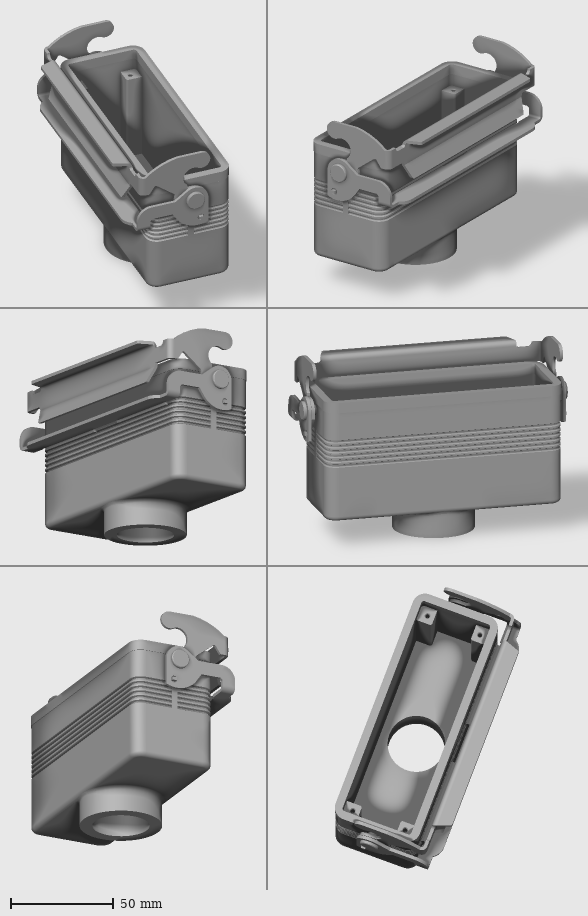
import cadquery as cq
import math


body_length = 120.0
body_width = 43.4
body_corner_radius = 6.0
body_bottom = 13.0
body_edge_radius = 2.3
rim_start = 68.3
rim_top = 73.5
rim_step = 0.3
wall = 4.0
floor_thickness = 4.0
cavity_corner_radius = 1.3
cavity_undercut = 0.3

neck_radius = 20.2
neck_flare = 1.7
cable_hole_radius = 14.1

groove_count = 6
groove_first = 41.3
groove_last = 53.6
groove_pitch = (groove_last - groove_first) / (groove_count - 1)
groove_mouth = 1.6
groove_floor = 0.8
groove_depth = 1.1
groove_bridge_width = 3.0
groove_cut_margin = 2.7

post_size = 7.8
post_sink = 1.3
post_top = 62.0
post_edge_radius = 1.1
post_hole_radius = 1.1
post_hole_chamfer = 0.4
post_hole_depth = 8.0
drill_half_angle = 59.0
post_hole_x = 52.3
post_hole_y = 13.7

sheet = 1.6
bend_inner = 1.2
bend_outer = bend_inner + sheet

pivot_z = 64.3
pin_radius = 2.5
pin_tip_radius = 1.2
pin_head_radius = 4.7
pin_head_chamfer = 0.4
lever_half_length = 67.0

handle_half_length = 65.4
handle_eye_radius = 7.0
handle_back = -30.3
handle_arm_back = -23.5
handle_arm_top = 65.4
handle_arm_bottom = 58.5
handle_elbow_radius = 7.4
handle_neck_slope = 36.0
crotch_y = -11.9
lug_shoulder = (-9.8, 55.5)
lug_low_point = (-2.7, 49.8)
lug_corner_z = 50.4
flange_bottom = 52.1
flange_inner_edge = -24.0
flange_front = -33.8
flange_wide_half = 58.2
flange_front_half = 52.7
flange_shoulder = (-56.0, -32.4)
flange_tab_half = 54.4
lip_edge = -22.1
lip_bottom = 51.0
lip_bend_y = -23.3
lip_inner_x = 10.2
lip_outer_x = 52.5
stud_y = 3.1
stud_z = 53.5
stud_length = 2.1
stud_width = 1.6
stud_height = 1.1
stud_recess_radius = 1.7

hook_half_length = 63.4
hook_top = 89.5
hook_eye_radius = 9.9
hook_tip_radius = 4.4
hook_tip_y = 4.4
throat_z = 76.4
throat_end_y = -3.2
hook_shoulder_y = -8.3
hook_back_point = (-17.4, 86.8)
hook_foot_y = -23.3
notch_peak_z = 76.0
notch_peak_back_y = -20.5
notch_peak_front_y = -19.5
shank_corner = (-9.9, 68.6)
shank_y = -9.4
hook_eye_edge = 6.0
hook_wall_front = -28.3
hook_wall_bottom = 71.8
hook_wall_top = 81.7
shelf_front = -36.0
shelf_half = 49.6
shelf_front_half = 46.8
shelf_start = 80.4
shelf_bend_inner = 1.0
dip_bottom = 79.5
dip_inner_x = 50.9
dip_inner_corner = (-50.0, 79.9)
dip_outer_x = 55.9
dip_outer_corner = (-57.1, 80.3)
dip_end_x = 57.6
skirt_bend = 70.0
skirt_bottom = 62.3
skirt_angle = 24.0
skirt_top_half = 50.9
skirt_bottom_half = 47.3
plate_corner_radius = 1.1


def rounded_prism(length, width, radius, bottom, top):
    height = top - bottom
    return (cq.Workplane("XY", origin=(0, 0, bottom))
            .rect(length, width).extrude(height).edges("|Z").fillet(radius))


def outer_body():
    """Body with a rounded floor edge, a proud rim and a neck flaring into the floor."""
    body = rounded_prism(body_length, body_width, body_corner_radius, body_bottom, rim_top)
    body = body.faces("<Z").edges().fillet(body_edge_radius)
    neck = cq.Workplane("XY").circle(neck_radius).extrude(body_bottom + body_edge_radius)
    body = body.union(neck)
    reach = neck_radius + neck_flare
    neck_joint = cq.selectors.BoxSelector((-reach, -reach, body_bottom - neck_flare),
                                          (reach, reach, body_bottom + body_edge_radius))
    body = body.edges(neck_joint).fillet(neck_flare)
    rim = rounded_prism(body_length + 2 * rim_step, body_width + 2 * rim_step,
                        body_corner_radius + rim_step, rim_start, rim_top)
    return body.union(rim)


def groove(middle):
    """Ring with sloping flanks, broken by a bridge at the middle of each short side."""
    flank_height = (groove_mouth - groove_floor) / 2
    flank_angle = math.degrees(math.atan2(groove_depth, flank_height))
    core_length = body_length - 2 * groove_depth
    core_width = body_width - 2 * groove_depth
    core_radius = body_corner_radius - groove_depth

    def flank(direction):
        start = middle + direction * groove_floor / 2
        outline = cq.Sketch().rect(core_length, core_width).vertices().fillet(core_radius)
        return (cq.Workplane("XY", origin=(0, 0, start)).placeSketch(outline)
                .extrude(direction * flank_height, taper=-flank_angle))

    core = rounded_prism(core_length, core_width, core_radius,
                         middle - groove_floor / 2, middle + groove_floor / 2)
    ring_length = body_length + groove_cut_margin
    ring_width = body_width + groove_cut_margin
    centre = cq.Workplane("XY", origin=(0, 0, middle))
    ring = centre.box(ring_length, ring_width, groove_mouth)
    bridge = centre.box(ring_length, groove_bridge_width, groove_mouth)
    return ring.cut(core).cut(flank(1)).cut(flank(-1)).cut(bridge)


def cavity():
    mouth_length = body_length + 2 * rim_step - 2 * wall
    mouth_width = body_width + 2 * rim_step - 2 * wall
    floor = body_bottom + floor_thickness
    mouth = rounded_prism(mouth_length, mouth_width, cavity_corner_radius, floor, rim_top)
    lower = rounded_prism(mouth_length + 2 * cavity_undercut, mouth_width + 2 * cavity_undercut,
                          cavity_corner_radius + cavity_undercut, floor, rim_start)
    return mouth.union(lower)


def corner_post(side_x, side_y):
    """Square post in a cavity corner, sunk into both walls, with a blind screw hole."""
    wall_x = body_length / 2 + rim_step - wall
    wall_y = body_width / 2 + rim_step - wall
    size = post_size + post_sink
    floor = body_bottom + floor_thickness / 2
    inner_x = "<X" if side_x > 0 else ">X"
    inner_y = "<Y" if side_y > 0 else ">Y"
    post = (cq.Workplane("XY", origin=(side_x * (wall_x + post_sink - size / 2),
                                       side_y * (wall_y + post_sink - size / 2), floor))
            .rect(size, size).extrude(post_top - floor)
            .faces(inner_x).edges("|Z and " + inner_y)
            .fillet(post_edge_radius))
    tip_length = post_hole_radius / math.tan(math.radians(drill_half_angle))
    hole = (cq.Workplane("XZ", origin=(side_x * post_hole_x, side_y * post_hole_y, post_top))
            .polyline([(0, 0),
                       (post_hole_radius + post_hole_chamfer, 0),
                       (post_hole_radius, -post_hole_chamfer),
                       (post_hole_radius, -post_hole_depth),
                       (0, -post_hole_depth - tip_length)])
            .close().revolve(360, (0, 0, 0), (0, 1, 0)))
    return post.cut(hole)


def rod(x_start, x_end, y, z, radius):
    return cq.Workplane("YZ", origin=(x_start, y, z)).circle(radius).extrude(x_end - x_start)


def make_housing():
    shell = outer_body()
    for index in range(groove_count):
        shell = shell.cut(groove(groove_first + index * groove_pitch))
    shell = shell.cut(cavity())
    for side_x in (-1, 1):
        for side_y in (-1, 1):
            shell = shell.union(corner_post(side_x, side_y))
    cable_hole = cq.Workplane("XY").circle(cable_hole_radius).extrude(body_bottom + floor_thickness)
    pivot_hole = rod(-body_length, body_length, 0, pivot_z, pin_tip_radius)
    return shell.cut(cable_hole).cut(pivot_hole)


def on_both_ends(left_part):
    return left_part.union(left_part.mirror("YZ"))


def handle_side():
    """Left side plate: eye around the pivot, lug below it and an arm reaching back."""
    slope = math.radians(handle_neck_slope)
    leave_y = -handle_eye_radius * math.sin(slope)
    leave_z = pivot_z + handle_eye_radius * math.cos(slope)
    bend_start = flange_bottom + bend_outer
    arm_top_y = leave_y - (leave_z - handle_arm_top) / math.tan(slope)
    elbow_y = handle_back + handle_elbow_radius
    elbow_z = handle_arm_top - handle_elbow_radius
    diagonal = handle_elbow_radius * math.sqrt(0.5)
    plate = (cq.Workplane("YZ", origin=(-handle_half_length, 0, 0))
             .moveTo(handle_eye_radius, pivot_z)
             .threePointArc((0, pivot_z + handle_eye_radius), (leave_y, leave_z))
             .lineTo(arm_top_y, handle_arm_top)
             .lineTo(elbow_y, handle_arm_top)
             .threePointArc((elbow_y - diagonal, elbow_z + diagonal), (handle_back, elbow_z))
             .lineTo(handle_back, bend_start)
             .lineTo(handle_arm_back, bend_start)
             .lineTo(handle_arm_back, handle_arm_bottom - plate_corner_radius)
             .lineTo(handle_arm_back + plate_corner_radius, handle_arm_bottom)
             .lineTo(crotch_y, handle_arm_bottom)
             .lineTo(*lug_shoulder)
             .threePointArc(lug_low_point, (handle_eye_radius, lug_corner_z))
             .close().extrude(sheet))
    recess_floor = -handle_half_length + sheet / 2
    recess = rod(-handle_half_length, recess_floor, stud_y, stud_z, stud_recess_radius)
    stud = (cq.Workplane("YZ", origin=(recess_floor, stud_y, stud_z))
            .rect(stud_length, stud_width).extrude(-sheet / 2 - stud_height))
    return plate.cut(recess).union(stud)


def handle_bend():
    """Left quarter bend from the side plate's arm into the flange."""
    centre_x = -handle_half_length + bend_outer
    centre_z = flange_bottom + bend_outer
    quarter = (cq.Workplane("XZ", origin=(centre_x, handle_arm_back, centre_z))
               .circle(bend_outer).circle(bend_inner).extrude(handle_arm_back - handle_back))
    keep = (cq.Workplane("XZ", origin=(centre_x, handle_arm_back, centre_z))
            .rect(-bend_outer, -bend_outer, centered=False).extrude(handle_arm_back - handle_back))
    return quarter.intersect(keep)


def handle_flange():
    end_x = handle_half_length - bend_outer
    left_half = (cq.Workplane("XY", origin=(0, 0, flange_bottom))
                 .moveTo(0, flange_inner_edge)
                 .lineTo(-flange_tab_half, flange_inner_edge)
                 .lineTo(-flange_tab_half, handle_arm_back)
                 .lineTo(-end_x, handle_arm_back)
                 .lineTo(-end_x, handle_back)
                 .lineTo(-flange_wide_half, handle_back)
                 .threePointArc(flange_shoulder, (-flange_front_half, flange_front))
                 .lineTo(0, flange_front)
                 .close().extrude(sheet))
    return on_both_ends(left_half)


def handle_lip():
    """Left strip of the flange's inner edge, bent down to rest beside the housing."""
    flange_top = flange_bottom + sheet
    return (cq.Workplane("YZ", origin=(-lip_outer_x, 0, 0))
            .moveTo(flange_inner_edge, flange_bottom)
            .lineTo(lip_bend_y, lip_bottom)
            .lineTo(lip_edge, lip_bottom)
            .lineTo(lip_edge, lip_bottom + sheet)
            .lineTo(lip_bend_y, flange_top)
            .lineTo(flange_inner_edge, flange_top)
            .close().extrude(lip_outer_x - lip_inner_x))


def hook_side():
    """Left hook plate: round tip, round throat and an eye around the pivot."""
    tip_z = hook_top - hook_tip_radius
    centre_distance = math.hypot(hook_tip_y, tip_z - throat_z)
    throat_radius = centre_distance - hook_tip_radius
    join_y = hook_tip_y * throat_radius / centre_distance
    join_z = throat_z + (tip_z - throat_z) * throat_radius / centre_distance
    throat_end_z = throat_z - math.sqrt(throat_radius ** 2 - throat_end_y ** 2)
    wall_start = hook_wall_front + bend_outer
    shank_z = pivot_z + math.sqrt(hook_eye_radius ** 2 - shank_y ** 2)
    diagonal = hook_eye_radius * math.sqrt(0.5)
    eye_diagonal = hook_eye_edge * math.sqrt(0.5)
    return (cq.Workplane("YZ", origin=(-hook_half_length, 0, 0))
            .moveTo(hook_tip_y, hook_top)
            .lineTo(hook_shoulder_y, hook_top)
            .threePointArc(hook_back_point, (wall_start, hook_wall_top))
            .lineTo(wall_start, hook_wall_bottom)
            .lineTo(hook_foot_y, hook_wall_bottom)
            .lineTo(notch_peak_back_y, notch_peak_z)
            .lineTo(notch_peak_front_y, notch_peak_z)
            .lineTo(*shank_corner)
            .lineTo(shank_y, shank_z)
            .threePointArc((-diagonal, pivot_z - diagonal), (0, pivot_z - hook_eye_radius))
            .lineTo(hook_eye_edge, pivot_z - hook_eye_edge / 2)
            .lineTo(hook_eye_edge, pivot_z)
            .threePointArc((eye_diagonal, pivot_z + eye_diagonal), (0, pivot_z + hook_eye_edge))
            .lineTo(throat_end_y, pivot_z + hook_eye_edge)
            .lineTo(throat_end_y, throat_end_z)
            .threePointArc((-throat_radius, throat_z), (join_y, join_z))
            .threePointArc((hook_tip_y + hook_tip_radius, tip_z), (hook_tip_y, hook_top))
            .close().extrude(sheet))


def hook_wall():
    """Wall joining the hook plates, bent at both ends and dipped beside the shelf."""
    height = hook_wall_top - hook_wall_bottom
    flat_end = hook_half_length - bend_outer
    bend_y = hook_wall_front + bend_outer
    inner_face = hook_wall_front + sheet
    outer_reach = bend_outer * math.sqrt(0.5)
    inner_reach = bend_inner * math.sqrt(0.5)
    left_half = (cq.Workplane("XY", origin=(0, 0, hook_wall_bottom))
                 .moveTo(0, hook_wall_front)
                 .lineTo(-flat_end, hook_wall_front)
                 .threePointArc((-flat_end - outer_reach, bend_y - outer_reach),
                                (-hook_half_length, bend_y))
                 .lineTo(-hook_half_length + sheet, bend_y)
                 .threePointArc((-flat_end - inner_reach, bend_y - inner_reach),
                                (-flat_end, inner_face))
                 .lineTo(0, inner_face)
                 .close().extrude(height))
    upper_edge = (cq.Workplane("XZ", origin=(0, inner_face, 0))
                  .moveTo(0, hook_wall_top)
                  .lineTo(-dip_end_x, hook_wall_top)
                  .threePointArc(dip_outer_corner, (-dip_outer_x, dip_bottom))
                  .lineTo(-dip_inner_x, dip_bottom)
                  .threePointArc(dip_inner_corner, (-shelf_half, shelf_start))
                  .lineTo(0, shelf_start)
                  .close().extrude(sheet))
    return on_both_ends(left_half.cut(upper_edge))


def hook_shelf():
    """Shelf curling forward from the wall's upper edge, narrowing towards its front."""
    bend_radius = shelf_bend_inner + sheet
    bend_y = hook_wall_front - shelf_bend_inner
    outer_reach = bend_radius * math.sqrt(0.5)
    inner_reach = shelf_bend_inner * math.sqrt(0.5)
    inner_face = hook_wall_front + sheet
    strip = (cq.Workplane("YZ", origin=(-shelf_half, 0, 0))
             .moveTo(inner_face, shelf_start)
             .threePointArc((bend_y + outer_reach, shelf_start + outer_reach),
                            (bend_y, shelf_start + bend_radius))
             .lineTo(shelf_front, shelf_start + bend_radius)
             .lineTo(shelf_front, shelf_start + shelf_bend_inner)
             .lineTo(bend_y, shelf_start + shelf_bend_inner)
             .threePointArc((bend_y + inner_reach, shelf_start + inner_reach),
                            (hook_wall_front, shelf_start))
             .close().extrude(2 * shelf_half))
    outline = (cq.Workplane("XY", origin=(0, 0, shelf_start))
               .polyline([(-shelf_half, inner_face), (-shelf_half, hook_wall_front),
                          (-shelf_front_half, shelf_front), (shelf_front_half, shelf_front),
                          (shelf_half, hook_wall_front), (shelf_half, inner_face)])
               .close().extrude(bend_radius)
               .edges("|Z and <Y").fillet(plate_corner_radius))
    return strip.intersect(outline)


def hook_skirt():
    """Skirt leaning outward below the wall, narrowing towards its lower edge."""
    angle = math.radians(skirt_angle)
    inner_face = hook_wall_front + sheet
    lean_y = -math.sin(angle)
    lean_z = -math.cos(angle)
    length = (skirt_bend - skirt_bottom) / math.cos(angle)
    inner_bend_z = skirt_bend - sheet * math.tan(angle / 2)
    strip = (cq.Workplane("YZ", origin=(-skirt_top_half, 0, 0))
             .moveTo(hook_wall_front, hook_wall_bottom)
             .lineTo(hook_wall_front, skirt_bend)
             .line(length * lean_y, length * lean_z)
             .line(-sheet * lean_z, sheet * lean_y)
             .lineTo(inner_face, inner_bend_z)
             .lineTo(inner_face, hook_wall_bottom)
             .close().extrude(2 * skirt_top_half))
    outline = (cq.Workplane("XZ", origin=(0, inner_face, 0))
               .polyline([(-skirt_top_half, hook_wall_bottom), (-skirt_bottom_half, skirt_bottom),
                          (skirt_bottom_half, skirt_bottom), (skirt_top_half, hook_wall_bottom)])
               .close().extrude(inner_face - shelf_front)
               .edges("|Y and <Z").fillet(plate_corner_radius))
    return strip.intersect(outline)


def pivot_pin():
    """Left pivot: head outside, shank through both plates, thin tip through the housing wall."""
    housing_face = body_length / 2
    cavity_face = body_length / 2 + rim_step - wall + cavity_undercut
    head = (rod(-lever_half_length, -handle_half_length, 0, pivot_z, pin_head_radius)
            .faces("<X").edges().chamfer(pin_head_chamfer))
    shank = rod(-handle_half_length, -housing_face, 0, pivot_z, pin_radius)
    tip = rod(-housing_face, -cavity_face, 0, pivot_z, pin_tip_radius)
    return head.union(shank).union(tip)


def make_lever():
    end_parts = [handle_side(), handle_bend(), handle_lip(), hook_side(), pivot_pin()]
    lever = handle_flange().union(hook_wall()).union(hook_shelf()).union(hook_skirt())
    for end_part in end_parts:
        lever = lever.union(on_both_ends(end_part))
    return lever


housing = make_housing()
lever = make_lever()
result = cq.Compound.makeCompound([housing.solids().val(), lever.solids().val()])